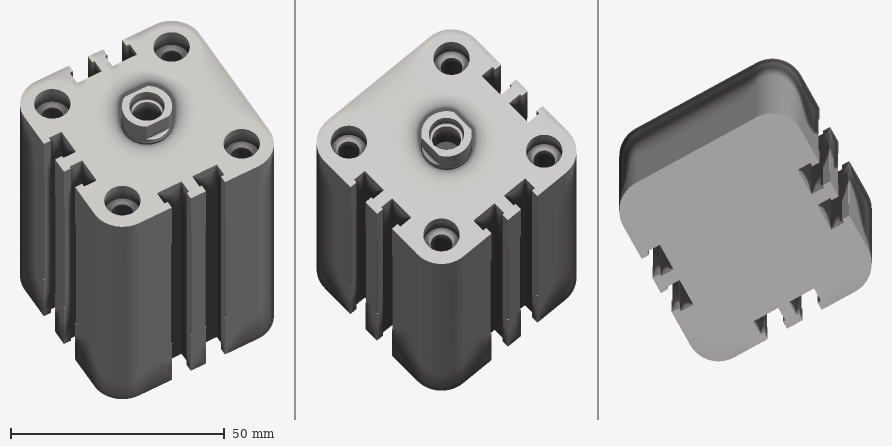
import cadquery as cq
import math

total_height = 76.0
cap_length = 14.5
tube_length = 40.0
rear_cap_base = 0.0
tube_base = rear_cap_base + cap_length
front_cap_base = tube_base + tube_length
front_cap_top = front_cap_base + cap_length

width = 47.5
half_width = width / 2
corner_radius = 7.6

slot_depth = 5.3
lip_depth = 1.9
mouth_inner = 2.05
mouth_outer = 7.2
pocket_inner = 1.45
pocket_outer = 8.1
mouth_chamfer = 0.3
slot_side_angles = (0, 90, -90)

screw_spacing = 32.4
screw_hole_diameter = 5.1
counterbore_diameter = 8.5
counterbore_depth = 5.0

rod_diameter = 12.0
rod_radius = rod_diameter / 2
rod_end_radius = 11.8 / 2
shoulder_base = front_cap_top + 0.75
shoulder_top = shoulder_base + 0.2
rod_hole_diameter = 6.8
rod_hole_depth = 11.4
rod_mouth_diameter = 8.3
rod_mouth_depth = 3.0

flat_offset = 10.0 / 2
flat_base = total_height - 5.0
run_out_angle = math.radians(30)
run_out_drop = (rod_radius - flat_offset) * math.tan(run_out_angle)


def slot_outline(side, chamfer):
    """Outline of one T-slot opening toward -Y; side is +1 or -1 along X."""
    lip_y = -half_width + lip_depth
    floor_y = -half_width + slot_depth
    points = [
        (mouth_inner - chamfer, -half_width),
        (mouth_inner, -half_width + chamfer),
        (mouth_inner, lip_y),
        (pocket_inner, lip_y),
        (pocket_inner, floor_y),
        (pocket_outer, floor_y),
        (pocket_outer, lip_y),
        (mouth_outer, lip_y),
        (mouth_outer, -half_width + chamfer),
        (mouth_outer + chamfer, -half_width),
    ]
    if chamfer == 0:
        points = points[1:-1]
    return [(side * x, y) for x, y in points]


def make_profile(base, length, chamfer=0.0):
    """Rounded square bar with a pair of T-slots on three sides."""
    bar = cq.Workplane("XY").workplane(offset=base).rect(width, width).extrude(length)
    bar = bar.edges("|Z").fillet(corner_radius)
    for angle in slot_side_angles:
        for side in (1, -1):
            outline = slot_outline(side, chamfer)
            slot = cq.Workplane("XY").workplane(offset=base).polyline(outline).close().extrude(length)
            bar = bar.cut(slot.rotate((0, 0, 0), (0, 0, 1), angle))
    return bar


def make_rear_cap():
    """Slotted cap closing the rear end of the tube."""
    return make_profile(rear_cap_base, cap_length)


def make_tube():
    """Middle body, with chamfered slot mouths."""
    return make_profile(tube_base, tube_length, mouth_chamfer)


def make_front_cap():
    """Slotted cap with four counterbored screw holes and a through hole for the rod."""
    cap = make_profile(front_cap_base, cap_length)
    cap = (
        cap.faces(">Z")
        .workplane(origin=(0, 0, front_cap_top))
        .rect(screw_spacing, screw_spacing, forConstruction=True)
        .vertices()
        .cboreHole(screw_hole_diameter, counterbore_diameter, counterbore_depth)
    )
    return cap.faces(">Z").workplane(origin=(0, 0, front_cap_top)).hole(rod_diameter)


def make_flat_cutter(side):
    """Block that cuts one spanner flat; side is +1 or -1 along X."""
    return (
        cq.Workplane("XZ")
        .moveTo(side * flat_offset, total_height)
        .lineTo(side * flat_offset, flat_base)
        .lineTo(side * rod_radius, flat_base - run_out_drop)
        .lineTo(side * rod_radius, total_height)
        .close()
        .extrude(rod_radius, both=True)
    )


def make_rod():
    """Turned rod standing on the tube, with spanner flats and a stepped blind hole."""
    rod_body = (
        cq.Workplane("XZ")
        .moveTo(0, front_cap_base)
        .lineTo(rod_radius, front_cap_base)
        .lineTo(rod_radius, shoulder_base)
        .lineTo(rod_end_radius, shoulder_top)
        .lineTo(rod_end_radius, total_height)
        .lineTo(0, total_height)
        .close()
        .revolve(360, (0, 0), (0, 1))
    )
    for side in (1, -1):
        rod_body = rod_body.cut(make_flat_cutter(side))
    rod_top = rod_body.faces(">Z").workplane(origin=(0, 0, total_height))
    return rod_top.cboreHole(rod_hole_diameter, rod_mouth_diameter, rod_mouth_depth, rod_hole_depth)


rear_cap = make_rear_cap()
tube = make_tube()
front_cap = make_front_cap()
rod = make_rod()

result = cq.Compound.makeCompound([rear_cap.val(), tube.val(), front_cap.val(), rod.val()])